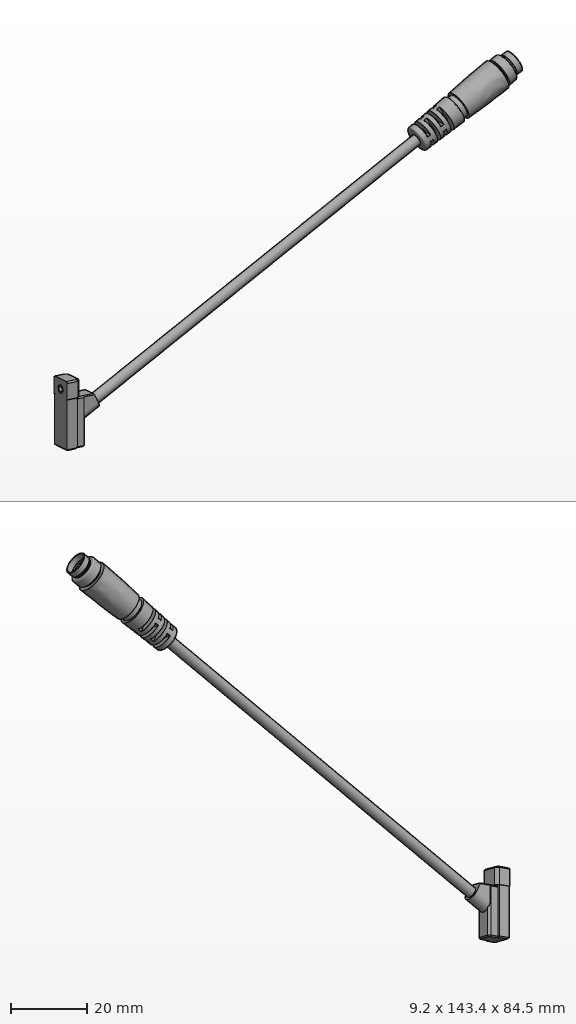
import cadquery as cq
import math

OVERALL_Y = 143.4
OVERALL_Z = 84.5
CABLE_TILT = 28.0
SIN_TILT = math.sin(math.radians(CABLE_TILT))
COS_TILT = math.cos(math.radians(CABLE_TILT))

NOSE_RADIUS = 3.3
NOSE_LENGTH = 1.9
NOSE_BORE_RADIUS = 3.0
NOSE_BORE_DEPTH = 2.3
LATCH_GROOVE_RADIUS = 3.0
COLLAR_START = 2.6
COLLAR_END = 5.3
COLLAR_RADIUS = 4.2
COLLAR_ROUND = 0.5
SEAL_GROOVE_RADIUS = 3.3

GRIP_START = 6.0
GRIP_END = 19.6
GRIP_RADIUS = 4.6
GRIP_END_RADIUS = 4.2
GRIP_BULGE_PLACE = (GRIP_START + GRIP_END) / 2
GRIP_BULGE_RADIUS = GRIP_RADIUS - (GRIP_RADIUS - GRIP_END_RADIUS) / 4
WAIST_RADIUS = 3.5
RELIEF_START = 21.4
RELIEF_RADIUS = 4.2
RELIEF_END_RADIUS = 3.7
RELIEF_END = 34.5
RELIEF_END_ROUND = 0.5
FIRST_SLOT = 25.0
SLOT_PITCH = 2.3
SLOT_WIDTH = 1.0
SLOT_COUNT = 4
SPINE_WIDTH = 1.7

CABLE_RADIUS = 1.6
CABLE_START = RELIEF_START
CABLE_END = 149.0

BODY_WIDTH = 6.0
BODY_DEPTH = 3.3
HEAD_WIDTH = 6.5
HEAD_DEPTH = 4.3
HEAD_BACK_WIDTH = 4.6
HEAD_BACK_BEVEL = 0.9
HEAD_TOP_BEVEL = 0.5
HOUSING_HEIGHT = 19.2
HEAD_BOTTOM = 14.2
RAIL_WIDTH = 4.9
RAIL_BACK = 6.3
RAIL_HEIGHT = 14.0
RAIL_BEVEL = 0.6
RAIL_TOP_BEVEL = 0.5
BOTTOM_BEVEL = 0.36
GLAND_RADIUS = 2.3

SCREW_RADIUS = 1.1
SCREW_LENGTH = 2.9
SCREW_HEIGHT = 16.3
SOCKET_RADIUS = 0.7
SOCKET_DEPTH = 0.9

axis = cq.Vector(0, -COS_TILT, -SIN_TILT)
upward = cq.Vector(0, -SIN_TILT, COS_TILT)
nose_center = cq.Vector(0, OVERALL_Y - NOSE_RADIUS * SIN_TILT, OVERALL_Z - NOSE_RADIUS * COS_TILT)
profile_plane = cq.Plane(origin=nose_center, xDir=axis, normal=(-1, 0, 0))


def section_plane(distance):
    """Plane across the cable axis, its local x pointing away from the floor."""
    return cq.Plane(origin=nose_center + axis * distance, xDir=upward, normal=axis)


def turned(outline):
    """Solid of revolution about the cable axis from an outline in (distance, radius)."""
    return outline.close().revolve(360, (0, 0), (1, 0))


def make_nose():
    return turned(
        cq.Workplane(profile_plane)
        .moveTo(NOSE_BORE_DEPTH, 0)
        .lineTo(NOSE_BORE_DEPTH, NOSE_BORE_RADIUS)
        .lineTo(0, NOSE_BORE_RADIUS)
        .lineTo(0, NOSE_RADIUS)
        .lineTo(NOSE_LENGTH, NOSE_RADIUS)
        .lineTo(NOSE_LENGTH, LATCH_GROOVE_RADIUS)
        .lineTo(COLLAR_START, LATCH_GROOVE_RADIUS)
        .lineTo(COLLAR_START, COLLAR_RADIUS - COLLAR_ROUND)
        .tangentArcPoint((COLLAR_ROUND, COLLAR_ROUND))
        .lineTo(COLLAR_END, COLLAR_RADIUS)
        .lineTo(COLLAR_END, SEAL_GROOVE_RADIUS)
        .lineTo(GRIP_START, SEAL_GROOVE_RADIUS)
        .lineTo(GRIP_START, 0)
    )


def make_relief_slot(index):
    """Pair of opposite slots; odd pairs are turned a quarter turn from even ones."""
    reach = 2 * GRIP_RADIUS
    offset = (SPINE_WIDTH + reach) / 2
    side = (0, offset) if index % 2 == 0 else (offset, 0)
    size = (2 * reach, reach) if index % 2 == 0 else (reach, 2 * reach)
    return (
        cq.Workplane(section_plane(FIRST_SLOT + index * SLOT_PITCH))
        .pushPoints([side, (-side[0], -side[1])])
        .rect(*size)
        .extrude(SLOT_WIDTH)
    )


def make_grip():
    grip = turned(
        cq.Workplane(profile_plane)
        .moveTo(GRIP_START, 0)
        .lineTo(GRIP_START, GRIP_RADIUS)
        .threePointArc((GRIP_BULGE_PLACE, GRIP_BULGE_RADIUS), (GRIP_END, GRIP_END_RADIUS))
        .lineTo(GRIP_END, WAIST_RADIUS)
        .lineTo(RELIEF_START, WAIST_RADIUS)
        .lineTo(RELIEF_START, RELIEF_RADIUS)
        .lineTo(RELIEF_END, RELIEF_END_RADIUS)
        .lineTo(RELIEF_END, 0)
    )
    grip = grip.edges(cq.selectors.DirectionMinMaxSelector(axis, True)).fillet(RELIEF_END_ROUND)
    for index in range(SLOT_COUNT):
        grip = grip.cut(make_relief_slot(index))
    return grip.cut(make_cable())


def make_cable():
    return cq.Workplane(section_plane(CABLE_START)).circle(CABLE_RADIUS).extrude(CABLE_END - CABLE_START)


def make_head():
    half = HEAD_WIDTH / 2
    return (
        cq.Workplane("XY", origin=(0, 0, HEAD_BOTTOM))
        .moveTo(-half, 0)
        .lineTo(half, 0)
        .lineTo(half, HEAD_DEPTH - HEAD_BACK_BEVEL)
        .lineTo(HEAD_BACK_WIDTH / 2, HEAD_DEPTH)
        .lineTo(-HEAD_BACK_WIDTH / 2, HEAD_DEPTH)
        .lineTo(-half, HEAD_DEPTH - HEAD_BACK_BEVEL)
        .close()
        .extrude(HOUSING_HEIGHT - HEAD_BOTTOM)
        .faces(">Z")
        .edges("not <Y")
        .chamfer(HEAD_TOP_BEVEL)
    )


def make_gland():
    """Half-round saddle around the cable, walled up to the level of the rail top."""
    inner_end = (nose_center.y - BODY_DEPTH) / COS_TILT
    wall = RAIL_BACK + RAIL_HEIGHT
    gland = (
        cq.Workplane(section_plane(CABLE_END))
        .moveTo(0, -GLAND_RADIUS)
        .lineTo(wall, -GLAND_RADIUS)
        .lineTo(wall, GLAND_RADIUS)
        .lineTo(0, GLAND_RADIUS)
        .threePointArc((-GLAND_RADIUS, 0), (0, -GLAND_RADIUS))
        .close()
        .extrude(inner_end - CABLE_END)
    )
    keep = (
        cq.Workplane("XY", origin=(0, BODY_DEPTH, 0))
        .rect(RAIL_WIDTH, wall, centered=(True, False))
        .extrude(RAIL_HEIGHT)
        .edges("|Y and >Z")
        .chamfer(RAIL_TOP_BEVEL)
    )
    return gland.intersect(keep)


def make_housing():
    body = cq.Workplane("XY").box(BODY_WIDTH, BODY_DEPTH, HEAD_BOTTOM, centered=(True, False, False))
    rail = (
        cq.Workplane("XY")
        .box(RAIL_WIDTH, RAIL_BACK, RAIL_HEIGHT, centered=(True, False, False))
        .edges("|Z and >Y")
        .chamfer(RAIL_BEVEL)
        .edges("|Y and >Z")
        .chamfer(RAIL_TOP_BEVEL)
    )
    base = body.union(rail).faces("<Z").chamfer(BOTTOM_BEVEL)
    housing = base.union(make_head()).union(make_gland())
    return housing.cut(screw_blank())


def screw_blank():
    return cq.Workplane("XZ", origin=(0, SCREW_LENGTH, SCREW_HEIGHT)).circle(SCREW_RADIUS).extrude(SCREW_LENGTH)


def make_screw():
    return screw_blank().faces("<Y").workplane().circle(SOCKET_RADIUS).cutBlind(-SOCKET_DEPTH)


housing = make_housing()
screw = make_screw()
cable = make_cable()
grip = make_grip()
nose = make_nose()

result = cq.Compound.makeCompound([
    housing.val(), screw.val(), cable.val(), grip.val(), nose.val(),
])